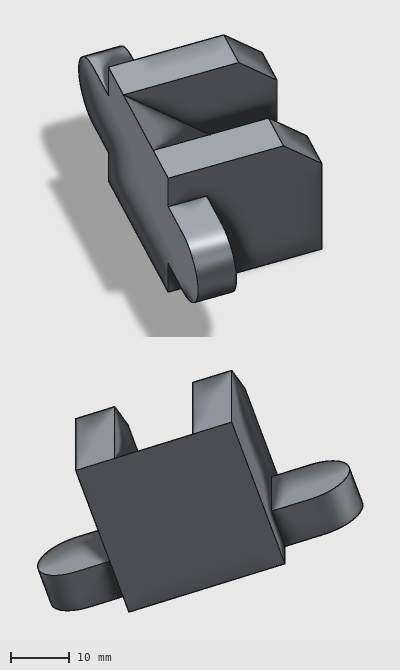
import cadquery as cq

length = 56.0
body_size = length / 2
ear_radius = body_size / 4
ear_thickness = body_size / 4
chamfer = body_size / 4
slot_width = body_size / 2
slot_drop = body_size


def make_body():
    """Cube with its front face on Y = 0 and a chamfered upper back edge."""
    cube = cq.Workplane("XY").box(body_size, body_size, body_size)
    return cube.translate((0, body_size / 2, 0)).edges(">Y and >Z").chamfer(chamfer)


def make_ears():
    """Round-ended flange that sticks out on both sides of the body."""
    flange = cq.Workplane("XZ").slot2D(length, 2 * ear_radius)
    return flange.extrude(-ear_thickness)


def make_slot():
    """Central wedge whose floor slopes from the front top edge down to the back."""
    top = body_size / 2
    profile = [(0, top), (body_size, top), (body_size, top - slot_drop)]
    wedge = cq.Workplane("YZ").polyline(profile).close()
    return wedge.extrude(slot_width / 2, both=True)


result = make_body().union(make_ears()).cut(make_slot())